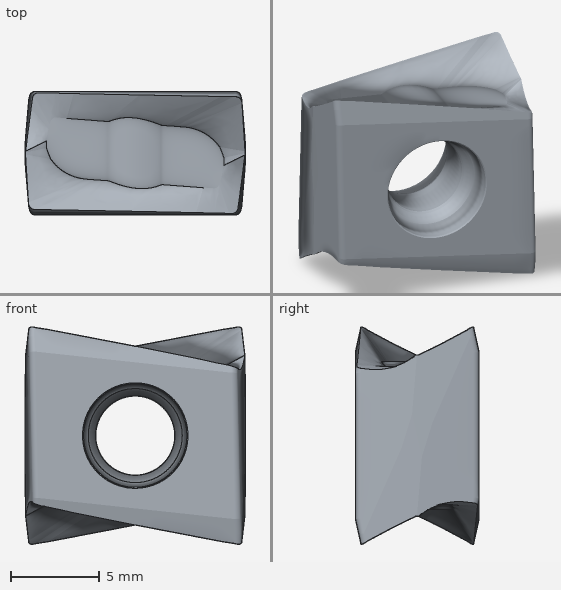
import cadquery as cq
import math

WIDTH = 12.51
THICKNESS = 7.0
HEIGHT = 12.31
BLANK_WIDTH = 1.1 * WIDTH
BLANK_HEIGHT = 1.2 * HEIGHT
TOOL_SIZE = 3 * WIDTH

flank_center = (-WIDTH / 2, 0, 0)
WAIST_X = -6.22
WAIST_Z = 4.58
waist = (WAIST_X, 0, WAIST_Z)
waist_below = (WAIST_X, 0, -WAIST_Z)
facet_joint = (-6.22, -0.88, 0.71)
facet_corner = (-6.04, -2.96, 5.44)
flank_facets = [
    (waist_below, facet_joint, facet_corner),
    (waist, facet_joint, facet_corner),
    (waist, facet_joint, flank_center),
]

chamfer_left = (-5.85, -THICKNESS / 2, 4.77)
chamfer_right = (5.32, -THICKNESS / 2, 3.57)
chamfer_rim = (-5.62, -3.19, 6.15)
CORNER_RADIUS = 0.35

CORNER_MIN_X = 5.38
CORNER_MIN_Y = 3.0

FLOOR_Z = 3.92
CROWN_Z = 4.19
CROWN_RADIUS = 4.25
CROWN_BLEND_RADIUS = 0.38
CROWN_LENGTH = 5.0
CROWN_DEPTH = 0.63

MOUTH_RADIUS = 2.99
SEAT_RADIUS = 2.93
LIP_DEPTH = 0.06
SEAT_DEPTH = 0.86
BOWL_RADIUS, BOWL_DEPTH = 2.66, 1.33
CONE_RADIUS, CONE_DEPTH = 2.55, 1.49
THROAT_RADIUS, THROAT_DEPTH = 2.3, 1.99
BORE_RADIUS, BORE_DEPTH = 2.24, 2.19


def half_turn(shape, axis):
    return shape.rotate((0, 0, 0), axis, 180)


def on_both_ends(shape):
    """The shape and its half turn about Z."""
    return [shape, half_turn(shape, (0, 0, 1))]


def on_all_corners(shape):
    """The shape and its half turns about Z, X and both."""
    pair = on_both_ends(shape)
    return pair + [half_turn(one, (1, 0, 0)) for one in pair]


def outside_of(points):
    """Block filling the side of the plane through three points that faces away from the origin."""
    first, second, third = [cq.Vector(*point) for point in points]
    normal = (second - first).cross(third - first)
    if normal.dot(first) < 0:
        normal = -normal
    plane = cq.Plane(origin=first, normal=normal)
    return cq.Workplane(plane).rect(TOOL_SIZE, TOOL_SIZE).extrude(TOOL_SIZE).val()


def make_blank():
    blank = cq.Workplane("XY").box(BLANK_WIDTH, THICKNESS, BLANK_HEIGHT)
    for facet in flank_facets + [(chamfer_left, chamfer_right, chamfer_rim)]:
        for block in on_all_corners(outside_of(facet)):
            blank = blank.cut(cq.Workplane(block))
    corners = [
        edge
        for edge in blank.edges().vals()
        if abs(edge.Center().x) > CORNER_MIN_X and abs(edge.Center().y) > CORNER_MIN_Y
    ]
    return blank.newObject(corners).fillet(CORNER_RADIUS)


def on_floor(x, y):
    return (x, y, FLOOR_Z)


left_tip = on_floor(-4.79, -0.34)
left_bend = on_floor(-4.07, -1.04)
nose_side = on_floor(-2.78, -1.48)
nose_middle = on_floor(-2.3, -1.51)
nose_front = on_floor(-1.75, -1.55)
crown_foot = on_floor(1.56, -1.79)
front_run = on_floor(3.87, -1.96)
round_start = on_floor(4.4, -2.0)
round_middle = on_floor(4.63, -1.96)
round_end = on_floor(4.77, -1.83)
side_start = on_floor(4.84, -1.61)
side_low = on_floor(4.9, -1.35)
side_high = on_floor(5.03, -0.69)
tip_side = on_floor(5.03, -0.28)
right_tip = on_floor(4.79, 0.34)

outer_left = (-6.5, -0.04, 4.72)
outer_nose_side = (-6.68, -3.08, 6.38)
outer_nose_middle = (-6.15, -3.48, 6.48)
outer_nose_front = (-5.53, -3.53, 6.42)
outer_middle = (-0.61, -3.57, 5.34)
outer_front_run = (3.4, -3.62, 4.45)
outer_round_start = (4.58, -3.64, 4.17)
outer_round_end = (5.42, -3.69, 3.99)
outer_side_start = (5.89, -3.5, 3.82)
outer_dip = (6.07, -2.7, 3.7)
outer_rise = (6.3, -1.3, 3.92)
outer_right = (6.5, 0.04, 4.72)

pocket_walls = [
    ([left_tip, left_bend, nose_side], [outer_left, outer_nose_side]),
    ([nose_side, nose_middle], [outer_nose_side, outer_nose_middle]),
    ([nose_middle, nose_front], [outer_nose_middle, outer_nose_front]),
    ([nose_front, crown_foot], [outer_nose_front, outer_middle]),
    ([crown_foot, front_run], [outer_middle, outer_front_run]),
    ([front_run, round_start], [outer_front_run, outer_round_start]),
    ([round_start, round_middle, round_end], [outer_round_start, outer_round_end]),
    ([round_end, side_start], [outer_round_end, outer_side_start]),
    ([side_start, side_low], [outer_side_start, outer_dip]),
    ([side_low, side_high], [outer_dip, outer_rise, outer_right]),
    ([side_high, tip_side], [outer_right]),
    ([tip_side, right_tip], [outer_right]),
]


def curve(points):
    """Straight edge through two points, arc through three."""
    vectors = [cq.Vector(*point) for point in points]
    if len(vectors) == 2:
        return cq.Edge.makeLine(*vectors)
    return cq.Edge.makeThreePointArc(*vectors)


def make_wall(floor_points, outer_points):
    """Ruled wall face, or a flat triangle where the wall narrows to one outer point."""
    if len(outer_points) == 1:
        corners = [cq.Vector(*point) for point in floor_points + outer_points]
        return cq.Face.makeFromWires(cq.Wire.makePolygon(corners, close=True))
    return cq.Face.makeRuledSurface(curve(floor_points), curve(outer_points))


def make_floor():
    outline = [curve(floor_points) for floor_points, _ in pocket_walls]
    outline += [half_turn(edge, (0, 0, 1)) for edge in outline]
    return cq.Face.makeFromWires(cq.Wire.assembleEdges(outline))


def above(face):
    return cq.Workplane(cq.Solid.extrudeLinear(face, cq.Vector(0, 0, HEIGHT)))


def cut_pocket(body):
    """Clear everything above the pocket floor and its walls."""
    for floor_points, outer_points in pocket_walls:
        for wall in on_both_ends(make_wall(floor_points, outer_points)):
            body = body.cut(above(wall))
    return body.cut(above(make_floor()))


def make_crown():
    """Arched bar across the floor, blended into it by a small concave arc on each side."""
    arch_z = CROWN_Z - CROWN_RADIUS
    blend_z = FLOOR_Z + CROWN_BLEND_RADIUS
    spacing = CROWN_RADIUS + CROWN_BLEND_RADIUS
    blend_x = math.sqrt(spacing**2 - (blend_z - arch_z) ** 2)
    tilt = math.atan2(blend_x, blend_z - arch_z)
    join_x = CROWN_RADIUS * math.sin(tilt)
    join_z = arch_z + CROWN_RADIUS * math.cos(tilt)
    middle_x = blend_x - CROWN_BLEND_RADIUS * math.sin(tilt / 2)
    middle_z = blend_z - CROWN_BLEND_RADIUS * math.cos(tilt / 2)
    base_z = FLOOR_Z - CROWN_DEPTH
    return (
        cq.Workplane("XZ")
        .moveTo(-blend_x, base_z)
        .lineTo(-blend_x, FLOOR_Z)
        .threePointArc((-middle_x, middle_z), (-join_x, join_z))
        .threePointArc((0, CROWN_Z), (join_x, join_z))
        .threePointArc((middle_x, middle_z), (blend_x, FLOOR_Z))
        .lineTo(blend_x, base_z)
        .close()
        .extrude(CROWN_LENGTH / 2, both=True)
    )


def make_hole():
    face_y = THICKNESS / 2
    half = (
        cq.Workplane("XY")
        .moveTo(0, -face_y)
        .lineTo(MOUTH_RADIUS, -face_y)
        .lineTo(SEAT_RADIUS, LIP_DEPTH - face_y)
        .lineTo(SEAT_RADIUS, SEAT_DEPTH - face_y)
        .tangentArcPoint((BOWL_RADIUS, BOWL_DEPTH - face_y), relative=False)
        .lineTo(CONE_RADIUS, CONE_DEPTH - face_y)
        .lineTo(THROAT_RADIUS, THROAT_DEPTH - face_y)
        .lineTo(BORE_RADIUS, BORE_DEPTH - face_y)
        .lineTo(BORE_RADIUS, 0)
        .lineTo(0, 0)
        .close()
        .revolve(360, (0, 0, 0), (0, 1, 0))
    )
    return half.union(half_turn(half, (0, 0, 1)))


def finish_top(body):
    return cut_pocket(body).union(make_crown())


body = finish_top(make_blank())
body = finish_top(half_turn(body, (1, 0, 0)))
result = body.cut(make_hole())